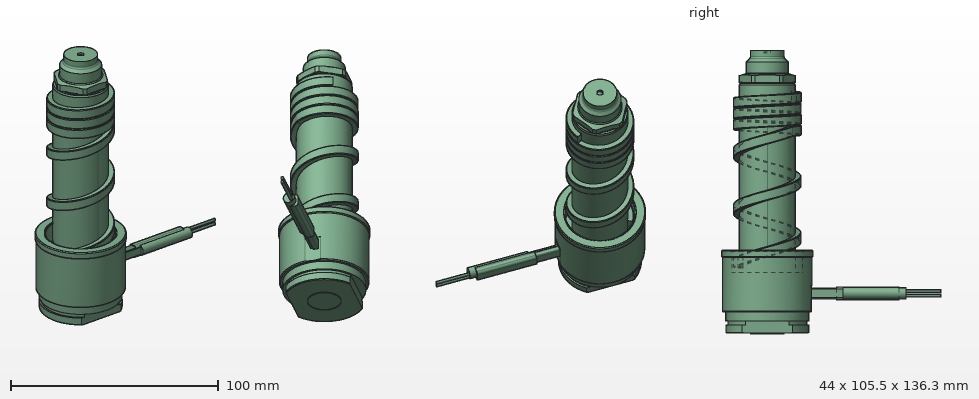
import cadquery as cq
import math

total_height = 136.3
cable_end_y = 83.5

center_pad_radius = 8.1
center_pad_height = 0.4
plug_radius = 20.0
plug_edge_chamfer = 0.4
groove_radius = 19.0
groove_bottom_z = 4.3
groove_top_z = 6.3
wrench_flat_x = 15.9

housing_radius = 21.6
housing_bottom_z = 10.5
housing_bottom_chamfer = 0.5
rim_radius = 22.0
rim_bottom_z = 36.8
housing_top_z = 40.35
rim_chamfer = 0.5
bore_radius = 16.9
bore_floor_z = 29.5
bore_mouth_radius = 17.5
bore_mouth_depth = 0.6
cable_flat_y = 21.25
cable_flat_top_z = 23.4

column_radius = 13.5
column_top_z = 120.5
column_chamfer_width = 0.4
column_chamfer_height = 0.9
hex_sides = 6
hex_across_flats = 24.3
hex_bottom_z = 121.0
hex_top_z = 125.0
hex_neck_radius = 12.0
hex_chamfer_width = 2.8
hex_chamfer_height = 0.8
shoulder_radius = 10.15
shoulder_foot_radius = 10.7
shoulder_foot_height = 0.5
shoulder_top_z = 130.8
cone_angle = 45.0
tip_radius = 8.15
tip_blend_radius = 1.5
center_hole_radius = 1.5
center_hole_depth = 1.2
center_point_height = 1.1

band_outer_radius = 16.35
band_embed = 0.3
band_height = 5.0
band_chamfer = 0.4
band_top_end_angle = 120.0
band_top_z = 116.7
slow_pitch = 5.25
slow_turns = 3.2
steep_pitch = 27.1
steep_turns = 2.3
foot_turns = 1 / 6

cable_z = 19.5
cable_embed_y = 18.0
sheath_left_x = -2.75
sheath_right_x = 0.2
sheath_height = 5.4
sheath_left_fillet = 0.5
sheath_right_fillet = 0.85
strip_right_x = 1.1
strip_height = 4.0
clip_left_x = -3.7
clip_right_x = 0.75
clip_start_y = 33.3
clip_end_y = 63.4
clip_height = 6.3
clip_fillet = 1.3
sleeve_radius = 2.75
sleeve_start_y = 36.3
sleeve_end_y = 66.7
wire_radius = 0.72
wire_x = -1.22
wire_spacing = 2.1


def disc(radius, bottom_z, top_z):
    return cq.Workplane("XY").workplane(offset=bottom_z).circle(radius).extrude(top_z - bottom_z)


def make_plug():
    lower = disc(plug_radius, center_pad_height, groove_bottom_z)
    lower = lower.faces("<Z").edges().chamfer(plug_edge_chamfer)
    flatted = lower.union(disc(groove_radius, groove_bottom_z, groove_top_z))
    between_flats = cq.Workplane("XY").box(
        2 * wrench_flat_x, 2 * plug_radius, groove_top_z, centered=(True, True, False)
    )
    flatted = flatted.intersect(between_flats)
    collar = disc(plug_radius, groove_top_z, housing_bottom_z)
    pad = disc(center_pad_radius, 0, center_pad_height)
    return flatted.union(collar).union(pad)


def make_housing():
    barrel = disc(housing_radius, housing_bottom_z, rim_bottom_z)
    barrel = barrel.faces("<Z").edges().chamfer(housing_bottom_chamfer)
    flat_cut = cq.Workplane("XY").box(
        2 * housing_radius, housing_radius, cable_flat_top_z, centered=(True, False, False)
    )
    barrel = barrel.cut(flat_cut.translate((0, cable_flat_y, 0)))
    rim = disc(rim_radius, rim_bottom_z, housing_top_z).edges().chamfer(rim_chamfer)
    housing = barrel.union(rim).cut(disc(bore_radius, bore_floor_z, housing_top_z))
    return housing.cut(disc(bore_mouth_radius, housing_top_z - bore_mouth_depth, housing_top_z))


def make_column():
    column = disc(column_radius, bore_floor_z, column_top_z)
    column = column.faces(">Z").edges().chamfer(column_chamfer_height, column_chamfer_width)
    return column.union(disc(hex_neck_radius, column_top_z, hex_bottom_z))


def make_hex():
    half_side_angle = 180 / hex_sides
    corner_diameter = hex_across_flats / math.cos(math.radians(half_side_angle))
    hexagon = (
        cq.Workplane("XY")
        .workplane(offset=hex_bottom_z)
        .polygon(hex_sides, corner_diameter)
        .extrude(hex_top_z - hex_bottom_z)
        .rotate((0, 0, 0), (0, 0, 1), half_side_angle)
    )
    blank = disc(column_radius, hex_bottom_z, hex_top_z)
    blank = blank.faces(">Z").edges().chamfer(hex_chamfer_height, hex_chamfer_width)
    return hexagon.intersect(blank)


def make_tip():
    foot_top_z = hex_top_z + shoulder_foot_height
    cone_top_z = shoulder_top_z + (shoulder_radius - tip_radius) / math.tan(math.radians(cone_angle))
    tangent_length = tip_blend_radius * math.tan(math.radians(cone_angle / 2))
    blend_width = tangent_length * math.sin(math.radians(cone_angle))
    blend_drop = tangent_length * math.cos(math.radians(cone_angle))
    blend_start = (tip_radius + blend_width, cone_top_z - blend_drop)
    blend_end = (tip_radius, cone_top_z + tangent_length)
    outline = (
        cq.Workplane("XZ")
        .moveTo(0, hex_top_z)
        .lineTo(shoulder_foot_radius, hex_top_z)
        .lineTo(shoulder_radius, foot_top_z)
        .lineTo(shoulder_radius, shoulder_top_z)
        .lineTo(*blend_start)
        .tangentArcPoint(blend_end, relative=False)
        .lineTo(tip_radius, total_height)
        .lineTo(0, total_height)
        .close()
    )
    tip = outline.revolve(360, (0, 0, 0), (0, 1, 0))
    hole_floor_z = total_height - center_hole_depth
    point = cq.Solid.makeCone(center_hole_radius, 0, center_point_height, cq.Vector(0, 0, hole_floor_z))
    return tip.cut(disc(center_hole_radius, hole_floor_z, total_height)).union(cq.Workplane(point))


def make_band_section(pitch, turns, start_angle, start_top_z):
    """Sweep the band upward from its lower end at the given angle and height."""
    inner_radius = column_radius - band_embed
    helix = cq.Wire.makeHelix(pitch, pitch * turns, band_outer_radius)
    profile = (
        cq.Workplane("XZ")
        .moveTo(inner_radius, -band_height)
        .lineTo(band_outer_radius - band_chamfer, -band_height)
        .lineTo(band_outer_radius, band_chamfer - band_height)
        .lineTo(band_outer_radius, -band_chamfer)
        .lineTo(band_outer_radius - band_chamfer, 0)
        .lineTo(inner_radius, 0)
        .close()
    )
    section = profile.sweep(cq.Workplane(helix), isFrenet=True)
    return section.rotate((0, 0, 0), (0, 0, 1), start_angle).translate((0, 0, start_top_z))


def make_band():
    """Join close coils at the top, open coils below them and a nearly flat foot at the bottom."""
    stretches = [(slow_pitch, slow_turns), (steep_pitch, steep_turns), (slow_pitch, foot_turns)]
    angle = band_top_end_angle
    top_z = band_top_z
    band = cq.Workplane("XY")
    for pitch, turns in stretches:
        angle -= 360 * turns
        top_z -= pitch * turns
        band = band.add(make_band_section(pitch, turns, angle, top_z))
    return band.combine()


def bar_along_y(left_x, right_x, height, start_y, end_y):
    bar = cq.Workplane("XY").box(right_x - left_x, end_y - start_y, height, centered=(False, False, True))
    return bar.translate((left_x, start_y, cable_z))


def rod_along_y(radius, x, z, start_y, end_y):
    return cq.Workplane(
        cq.Solid.makeCylinder(radius, end_y - start_y, cq.Vector(x, start_y, z), cq.Vector(0, 1, 0))
    )


def make_cable():
    sheath = bar_along_y(sheath_left_x, sheath_right_x, sheath_height, cable_embed_y, clip_end_y)
    sheath = sheath.edges("|Y and <X").fillet(sheath_left_fillet)
    sheath = sheath.edges("|Y and >X").fillet(sheath_right_fillet)
    strip_left_x = sheath_left_x + sheath_left_fillet
    strip = bar_along_y(strip_left_x, strip_right_x, strip_height, cable_embed_y, clip_end_y)
    clip = bar_along_y(clip_left_x, clip_right_x, clip_height, clip_start_y, clip_end_y)
    clip = clip.edges("|Y").fillet(clip_fillet)
    sleeve = rod_along_y(sleeve_radius, 0, cable_z, sleeve_start_y, sleeve_end_y)
    cable = sheath.union(strip).union(clip).union(sleeve)
    for side in (-1, 1):
        wire_z = cable_z + side * wire_spacing / 2
        cable = cable.union(rod_along_y(wire_radius, wire_x, wire_z, clip_end_y, cable_end_y))
    return cable


result = make_plug().union(make_housing()).union(make_column())
result = result.union(make_hex()).union(make_tip())
result = result.union(make_band()).union(make_cable())